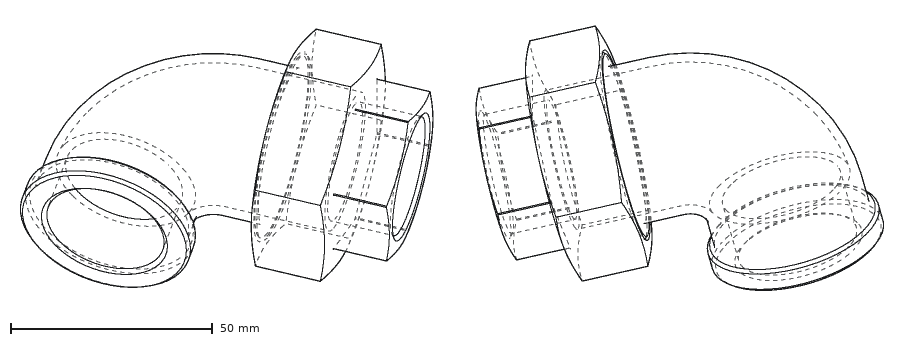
import cadquery as cq
import math


overall_length = 90

pipe_diameter = 40.0
chamber_diameter = 35.4
bend_radius = 24.0

bore_diameter = 30.3
bore_length = 17.1
lead_in_diameter = 32.6
lead_in_depth = 0.9

collar_diameter = 44.0
collar_end = 38.1
collar_length = 6.0
collar_chamfer = 0.8

nut_start = 34.5
nut_length = 19.0
nut_across_flats = 52.9
nut_opening_diameter = 48.4
nut_seat_diameter = 47.4
nut_recess_depth = 0.6

ring_diameter = 46.4

outlet_across_flats = 38.0
outlet_corner_diameter = 43.65

corner_chamfer_angle = 15

root_fillet = 0.3

collar_back = collar_end - collar_length
nut_end = nut_start + nut_length
outlet_end = overall_length - collar_diameter / 2
hexagon_corner_ratio = 1 / math.cos(math.radians(30))


def cone_at(start, direction, base_diameter, top_diameter, height):
    """Truncated cone that grows from start along direction."""
    cone = cq.Solid.makeCone(
        base_diameter / 2, top_diameter / 2, height, cq.Vector(start), cq.Vector(direction)
    )
    return cq.Workplane(cone)


def hexagon(start, length, across_flats):
    """Hexagonal prism along +X with two corners pointing along Z."""
    return (
        cq.Workplane("YZ", origin=(start, 0, 0))
        .transformed(rotate=(0, 0, 90))
        .polygon(6, across_flats * hexagon_corner_ratio)
        .extrude(length)
    )


def turned_envelope(start, length, diameter, face_diameter, both_ends):
    """Cylinder along X coned down to face_diameter at its +X end, or at both ends."""
    radius = diameter / 2
    face_radius = face_diameter / 2
    drop = (radius - face_radius) * math.tan(math.radians(corner_chamfer_angle))
    end = start + length
    profile = cq.Workplane("XY").moveTo(start, 0)
    if both_ends:
        profile = profile.lineTo(start, face_radius).lineTo(start + drop, radius)
    else:
        profile = profile.lineTo(start, radius)
    profile = profile.lineTo(end - drop, radius).lineTo(end, face_radius).lineTo(end, 0).close()
    return profile.revolve(360, (0, 0, 0), (1, 0, 0))


def elbow(diameter, inlet_length, outlet_length):
    """Solid round rod from the inlet end, through the bend, to the outlet end."""
    path = (
        cq.Workplane("XY")
        .moveTo(0, -inlet_length)
        .lineTo(0, -bend_radius)
        .radiusArc((bend_radius, 0), bend_radius)
        .lineTo(outlet_length, 0)
    )
    return cq.Workplane("XZ", origin=(0, -inlet_length, 0)).circle(diameter / 2).sweep(path)


def inlet_collar():
    """Bevelled ring around the inlet mouth."""
    radius = collar_diameter / 2
    face_radius = radius - collar_chamfer
    return (
        cq.Workplane("XY")
        .moveTo(0, -collar_end)
        .lineTo(face_radius, -collar_end)
        .lineTo(radius, -collar_end + collar_chamfer)
        .lineTo(radius, -collar_back - collar_chamfer)
        .lineTo(face_radius, -collar_back)
        .lineTo(0, -collar_back)
        .close()
        .revolve(360, (0, 0, 0), (0, 1, 0))
    )


def union_nut():
    """Hexagon nut with a V-shaped groove between its front face and the insert ring."""
    across_corners = nut_across_flats * hexagon_corner_ratio
    nut = hexagon(nut_start, nut_length, nut_across_flats).intersect(
        turned_envelope(nut_start, nut_length, across_corners, nut_across_flats, True)
    )
    recess = cone_at(
        (nut_start, 0, 0), (1, 0, 0), nut_opening_diameter, nut_seat_diameter, nut_recess_depth
    )
    ring = cone_at(
        (nut_start, 0, 0), (1, 0, 0), ring_diameter, nut_seat_diameter, nut_recess_depth
    )
    return nut.cut(recess).union(ring)


def outlet_hexagon():
    """Smaller hexagon behind the nut with trimmed corners and a bevelled end."""
    length = outlet_end - nut_end
    return hexagon(nut_end, length, outlet_across_flats).intersect(
        turned_envelope(nut_end, length, outlet_corner_diameter, outlet_across_flats, False)
    )


def bore(mouth, direction):
    """Round bore with a conical lead-in that runs inward from a mouth along direction."""
    drill = cq.Workplane(
        cq.Solid.makeCylinder(bore_diameter / 2, bore_length, cq.Vector(mouth), cq.Vector(direction))
    )
    return drill.union(cone_at(mouth, direction, lead_in_diameter, bore_diameter, lead_in_depth))


def chamber():
    """Wide passage through the bend, stopped by a flat shoulder at the inner end of each bore."""
    inlet_shoulder = collar_end - bore_length
    inlet_wall = (
        cq.Workplane("XZ", origin=(0, -inlet_shoulder, 0))
        .circle(pipe_diameter / 2)
        .extrude(bore_length)
    )
    return elbow(chamber_diameter, collar_end, outlet_end - bore_length).cut(inlet_wall)


def fillet_root(solid, low, high):
    """Round the inside corner edges that lie wholly in the box between two opposite corners."""
    return solid.edges(cq.selectors.BoxSelector(low, high, boundingbox=True)).fillet(root_fillet)


body = (
    elbow(pipe_diameter, collar_end, nut_end)
    .union(inlet_collar())
    .union(union_nut())
    .union(outlet_hexagon())
)

margin = 0.1
pipe_reach = pipe_diameter / 2 + margin
hexagon_reach = outlet_corner_diameter / 2 + margin
body = fillet_root(
    body,
    (-pipe_reach, -collar_back - margin, -pipe_reach),
    (pipe_reach, -collar_back + margin, pipe_reach),
)
for face, reach in ((nut_start, pipe_reach), (nut_end, hexagon_reach)):
    body = fillet_root(body, (face - margin, -reach, -reach), (face + margin, reach, reach))

inlet_bore = bore((0, -collar_end, 0), (0, 1, 0))
outlet_bore = bore((outlet_end, 0, 0), (-1, 0, 0))

result = body.cut(chamber()).cut(inlet_bore).cut(outlet_bore)